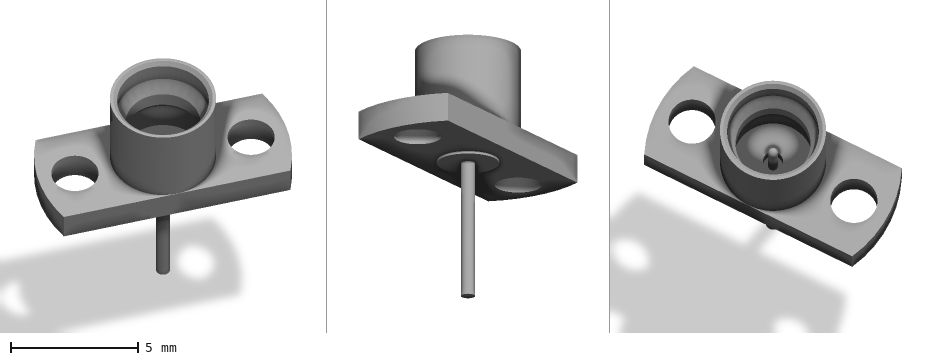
import cadquery as cq

flange_length = 10.12
flange_width = 4.19
flange_thickness = 1.14
mount_hole_diameter = 1.85
mount_hole_spacing = 7.16

barrel_diameter = 4.17
barrel_height = 3.38
barrel_top = flange_thickness + barrel_height

mouth_diameter = 3.91
entry_diameter = 3.6
throat_diameter = 2.94
detent_diameter = 3.18
mouth_chamfer_depth = (mouth_diameter - entry_diameter) / 2
entry_depth = 0.89
throat_start_depth = 1.44
throat_end_depth = 2.04
detent_start_depth = 2.25
socket_depth = barrel_height
socket_floor = barrel_top - socket_depth

contact_diameter = 0.38
contact_radius = contact_diameter / 2
contact_tip_depth = 2.25
recess_diameter = 0.79
recess_depth = 0.51
recess_floor = socket_floor - recess_depth

shoulder_diameter = 2.46
shoulder_height = 0.1
tail_diameter = 0.57
tail_length = 5.49


def cylinder(diameter, bottom, top):
    """Cylinder on the Z axis between two heights."""
    return cq.Workplane("XY").workplane(offset=bottom).circle(diameter / 2).extrude(top - bottom)


def make_flange():
    sides = cq.Workplane("XY").rect(flange_width, flange_length).extrude(flange_thickness)
    plate = cylinder(flange_length, 0, flange_thickness).intersect(sides)
    half_spacing = mount_hole_spacing / 2
    holes = (
        cq.Workplane("XY")
        .pushPoints([(0, -half_spacing), (0, half_spacing)])
        .circle(mount_hole_diameter / 2)
        .extrude(flange_thickness)
    )
    return plate.cut(holes)


def make_socket():
    """Volume of the socket, revolved from its half profile."""
    steps = [
        (mouth_diameter, 0),
        (entry_diameter, mouth_chamfer_depth),
        (entry_diameter, entry_depth),
        (throat_diameter, throat_start_depth),
        (throat_diameter, throat_end_depth),
        (detent_diameter, detent_start_depth),
        (detent_diameter, socket_depth),
    ]
    wall = [(diameter / 2, barrel_top - depth) for diameter, depth in steps]
    axis_ends = [(0, socket_floor), (0, barrel_top)]
    profile = cq.Workplane("XZ").polyline(wall + axis_ends).close()
    return profile.revolve(360, (0, 0), (0, 1))


def make_contact():
    dome_center = barrel_top - contact_tip_depth - contact_radius
    dome = cq.Workplane("XY").workplane(offset=dome_center).sphere(contact_radius)
    return cylinder(contact_diameter, recess_floor, dome_center).union(dome)


def make_rear():
    shoulder = cylinder(shoulder_diameter, -shoulder_height, 0)
    tail = cylinder(tail_diameter, -shoulder_height - tail_length, -shoulder_height)
    return shoulder.union(tail)


body = make_flange().union(cylinder(barrel_diameter, flange_thickness, barrel_top))
body = body.cut(make_socket())
body = body.cut(cylinder(recess_diameter, recess_floor, socket_floor))
result = body.union(make_contact()).union(make_rear())